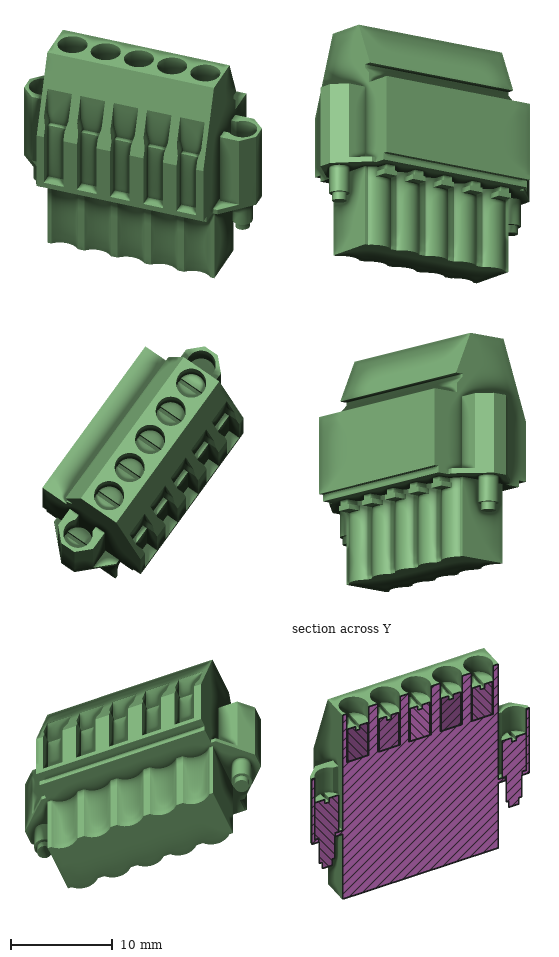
import cadquery as cq


POLE_COUNT = 5
PITCH = 3.5
POLE_XS = [(i - (POLE_COUNT - 1) / 2) * PITCH for i in range(POLE_COUNT)]

OVERALL_LENGTH = 24.45
HOUSING_LENGTH = 17.55
HOUSING_DEPTH = 11.83
OVERALL_HEIGHT = 22.6
HOUSING_BASE_Z = 7.97
FOOT_HEIGHT = 0.65
FOOT_FRONT_Y = 0.93
FOOT_BACK_Y = 11.32
SHOULDER_Z = 14.6
TOP_FRONT_Y = 2.93
TOP_BACK_Y = 7.2
NOTCH_TIP_Y = 9.07
NOTCH_TOP_Z = 18.33
NOTCH_FLOOR_Y = 8.25
NOTCH_FLOOR_HEIGHT = 0.32
BACK_STEP_Y = 8.92
NOTCH_RUN = BACK_STEP_Y - NOTCH_FLOOR_Y
SHELF_Z = 16.37

ENTRY_BOTTOM_Z = 9.2
ENTRY_LEDGE_Z = 15.23
ENTRY_TOP_Z = 19.19
ENTRY_WIDTH = 2.05
ENTRY_DEPTH = 1.22
FUNNEL_WIDTH = 2.57
FUNNEL_DEPTH = 1.7
FUNNEL_TAPER_BOTTOM_Z = 15.52
FUNNEL_TAPER_TOP_Z = 16.55

PLUG_FRONT_Y = 3.03
PLUG_BACK_Y = 8.25
CONTOUR_CHORD = 2.8
CONTOUR_RISE = 0.59

TAB_BACK_Y = 10.1
TAB_STEM_WIDTH = 1.0
TAB_HEAD_WIDTH = 1.52
TAB_LAYER_HEIGHT = 0.5

CLAMP_X_OFFSET = 0.05
CLAMP_Y = 5.08
CLAMP_BORE_DIAMETER = 2.95
CLAMP_SCREW_DIAMETER = 2.8
CLAMP_RECESS = 1.9
CLAMP_SCREW_LENGTH = 4.0

FLANGE_Y = 6.33
FLANGE_HALF_TIP = 0.78
FLANGE_HALF_WIDTH = 3.75
FLANGE_PLATE_HEIGHT = 0.51
SLEEVE_WIDTH = 4.2
SLEEVE_TOP_Z = 16.0
SLEEVE_GAP = 0.12
SLEEVE_OPENING = 2.05
SLEEVE_BORE_DIAMETER = 2.88
FIXING_X = 3 * PITCH
FIXING_HEAD_DIAMETER = 2.8
FIXING_RECESS = 3.0
FIXING_SHANK_DIAMETER = 2.0
FIXING_SHANK_END_Z = 5.33
FIXING_TIP_DIAMETER = 1.45
FIXING_TIP_END_Z = 4.57

SLOT_WIDTH = 0.45
SLOT_DEPTH = 0.5

PLATE_TOP_Z = HOUSING_BASE_Z + FLANGE_PLATE_HEIGHT
HALF_HOUSING = HOUSING_LENGTH / 2
CLAMP_XS = [x + CLAMP_X_OFFSET for x in POLE_XS]
CLAMP_SCREW_TOP_Z = OVERALL_HEIGHT - CLAMP_RECESS
CLAMP_BORE_FLOOR_Z = CLAMP_SCREW_TOP_Z - CLAMP_SCREW_LENGTH


def box(x_range, y_range, z_range):
    """Axis-aligned block between the given limits."""
    size = [high - low for low, high in (x_range, y_range, z_range)]
    corner = (x_range[0], y_range[0], z_range[0])
    return cq.Workplane("XY").box(*size, centered=False).translate(corner)


def cylinder(x, y, diameter, z_bottom, z_top):
    """Upright cylinder."""
    base = cq.Workplane("XY").workplane(offset=z_bottom).center(x, y)
    return base.circle(diameter / 2).extrude(z_top - z_bottom)


def centred(middle, width):
    """Limits of a span of the given width about its middle."""
    return (middle - width / 2, middle + width / 2)


def upper_housing():
    """Side profile of the housing, swept along the row."""
    foot_top_z = HOUSING_BASE_Z + FOOT_HEIGHT
    notch_ramp_z = NOTCH_TOP_Z - NOTCH_FLOOR_HEIGHT
    profile = [
        (FOOT_FRONT_Y, HOUSING_BASE_Z),
        (FOOT_FRONT_Y, foot_top_z),
        (0, foot_top_z),
        (0, SHOULDER_Z),
        (TOP_FRONT_Y, OVERALL_HEIGHT),
        (TOP_BACK_Y, OVERALL_HEIGHT),
        (NOTCH_TIP_Y, NOTCH_TOP_Z),
        (NOTCH_FLOOR_Y, NOTCH_TOP_Z),
        (NOTCH_FLOOR_Y, notch_ramp_z),
        (BACK_STEP_Y, notch_ramp_z - NOTCH_RUN),
        (BACK_STEP_Y, SHELF_Z),
        (HOUSING_DEPTH, SHELF_Z),
        (HOUSING_DEPTH, foot_top_z),
        (FOOT_BACK_Y, foot_top_z),
        (FOOT_BACK_Y, HOUSING_BASE_Z),
    ]
    return cq.Workplane("YZ").polyline(profile).close().extrude(HALF_HOUSING, both=True)


def plug():
    """Plug below the housing, grooved at the front and bulged at the back at each pole."""
    half_chord = CONTOUR_CHORD / 2
    outline = cq.Workplane("XY").moveTo(-HALF_HOUSING, PLUG_FRONT_Y)
    for x in POLE_XS:
        outline = outline.lineTo(x - half_chord, PLUG_FRONT_Y)
        outline = outline.threePointArc((x, PLUG_FRONT_Y + CONTOUR_RISE), (x + half_chord, PLUG_FRONT_Y))
    outline = outline.lineTo(HALF_HOUSING, PLUG_FRONT_Y).lineTo(HALF_HOUSING, PLUG_BACK_Y)
    for x in reversed(POLE_XS):
        outline = outline.lineTo(x + half_chord, PLUG_BACK_Y)
        outline = outline.threePointArc((x, PLUG_BACK_Y + CONTOUR_RISE), (x - half_chord, PLUG_BACK_Y))
    return outline.lineTo(-HALF_HOUSING, PLUG_BACK_Y).close().extrude(HOUSING_BASE_Z)


def coding_tab(x):
    """T-shaped tab under the housing, behind the plug."""
    y_range = (PLUG_BACK_Y, TAB_BACK_Y)
    stem_bottom_z = HOUSING_BASE_Z - TAB_LAYER_HEIGHT
    stem = box(centred(x, TAB_STEM_WIDTH), y_range, (stem_bottom_z, HOUSING_BASE_Z))
    head = box(centred(x, TAB_HEAD_WIDTH), y_range, (stem_bottom_z - TAB_LAYER_HEIGHT, stem_bottom_z))
    return stem.union(head)


def wire_entry(x):
    """Cutter for one wire entry: a slot below a wider and deeper funnel."""
    slot = box(centred(x, ENTRY_WIDTH), (0, ENTRY_DEPTH), (ENTRY_BOTTOM_Z, ENTRY_LEDGE_Z))
    half_slot = ENTRY_WIDTH / 2
    half_funnel = FUNNEL_WIDTH / 2
    funnel_outline = [
        (x - half_slot, ENTRY_LEDGE_Z),
        (x - half_slot, FUNNEL_TAPER_BOTTOM_Z),
        (x - half_funnel, FUNNEL_TAPER_TOP_Z),
        (x - half_funnel, ENTRY_TOP_Z),
        (x + half_funnel, ENTRY_TOP_Z),
        (x + half_funnel, FUNNEL_TAPER_TOP_Z),
        (x + half_slot, FUNNEL_TAPER_BOTTOM_Z),
        (x + half_slot, ENTRY_LEDGE_Z),
    ]
    funnel = cq.Workplane("XZ").polyline(funnel_outline).close().extrude(-FUNNEL_DEPTH)
    return slot.union(funnel)


def flange_outline(inner_x):
    """Tapered flange outline at the +X end, reaching inwards to inner_x."""
    outer_x = OVERALL_LENGTH / 2
    taper = FLANGE_HALF_WIDTH - FLANGE_HALF_TIP
    points = [
        (inner_x, FLANGE_Y - FLANGE_HALF_WIDTH),
        (outer_x - taper, FLANGE_Y - FLANGE_HALF_WIDTH),
        (outer_x, FLANGE_Y - FLANGE_HALF_TIP),
        (outer_x, FLANGE_Y + FLANGE_HALF_TIP),
        (outer_x - taper, FLANGE_Y + FLANGE_HALF_WIDTH),
        (inner_x, FLANGE_Y + FLANGE_HALF_WIDTH),
    ]
    return cq.Workplane("XY").workplane(offset=HOUSING_BASE_Z).polyline(points).close()


def flange():
    """Flange at the +X end: a plate carrying a screw sleeve that is open towards the housing."""
    plate = flange_outline(HALF_HOUSING).extrude(FLANGE_PLATE_HEIGHT)
    sleeve_inner_x = HALF_HOUSING + SLEEVE_GAP
    sleeve_x_range = (sleeve_inner_x, OVERALL_LENGTH / 2)
    sleeve_y_range = centred(FLANGE_Y, SLEEVE_WIDTH)
    sleeve_limits = box(sleeve_x_range, sleeve_y_range, (HOUSING_BASE_Z, SLEEVE_TOP_Z))
    sleeve = flange_outline(sleeve_inner_x).extrude(SLEEVE_TOP_Z - HOUSING_BASE_Z).intersect(sleeve_limits)

    bore = cylinder(FIXING_X, FLANGE_Y, SLEEVE_BORE_DIAMETER, PLATE_TOP_Z, SLEEVE_TOP_Z)
    opening = box((sleeve_inner_x, FIXING_X), centred(FLANGE_Y, SLEEVE_OPENING), (PLATE_TOP_Z, SLEEVE_TOP_Z))
    shank_hole = cylinder(FIXING_X, FLANGE_Y, FIXING_SHANK_DIAMETER, HOUSING_BASE_Z, PLATE_TOP_Z)
    return plate.union(sleeve).cut(bore).cut(opening).cut(shank_hole)


def make_housing():
    """Housing with its plug, coding tabs, flanges, wire entries and screw bores."""
    right_flange = flange()
    body = upper_housing().union(plug()).union(right_flange).union(right_flange.mirror("YZ"))
    for x in POLE_XS:
        body = body.union(coding_tab(x))
        body = body.cut(wire_entry(x))
    for x in CLAMP_XS:
        body = body.cut(cylinder(x, CLAMP_Y, CLAMP_BORE_DIAMETER, CLAMP_BORE_FLOOR_Z, OVERALL_HEIGHT))
    return body


def screwdriver_slot(x, y, head_diameter, head_top_z):
    """Cutter for a slot across a screw head, running along Y."""
    return box(centred(x, SLOT_WIDTH), centred(y, head_diameter), (head_top_z - SLOT_DEPTH, head_top_z))


def make_clamping_screw(x):
    """Slotted cylindrical screw standing on the floor of its bore."""
    body = cylinder(x, CLAMP_Y, CLAMP_SCREW_DIAMETER, CLAMP_BORE_FLOOR_Z, CLAMP_SCREW_TOP_Z)
    return body.cut(screwdriver_slot(x, CLAMP_Y, CLAMP_SCREW_DIAMETER, CLAMP_SCREW_TOP_Z))


def make_fixing_screw(x):
    """Slotted screw seated on the flange plate, with a stepped shank below it."""
    head_top_z = SLEEVE_TOP_Z - FIXING_RECESS
    head = cylinder(x, FLANGE_Y, FIXING_HEAD_DIAMETER, PLATE_TOP_Z, head_top_z)
    shank = cylinder(x, FLANGE_Y, FIXING_SHANK_DIAMETER, FIXING_SHANK_END_Z, PLATE_TOP_Z)
    tip = cylinder(x, FLANGE_Y, FIXING_TIP_DIAMETER, FIXING_TIP_END_Z, FIXING_SHANK_END_Z)
    screw = head.union(shank).union(tip)
    return screw.cut(screwdriver_slot(x, FLANGE_Y, FIXING_HEAD_DIAMETER, head_top_z))


housing = make_housing()
clamping_screws = [make_clamping_screw(x).val() for x in CLAMP_XS]
fixing_screws = [make_fixing_screw(x).val() for x in (-FIXING_X, FIXING_X)]

result = cq.Compound.makeCompound([housing.val(), *clamping_screws, *fixing_screws])